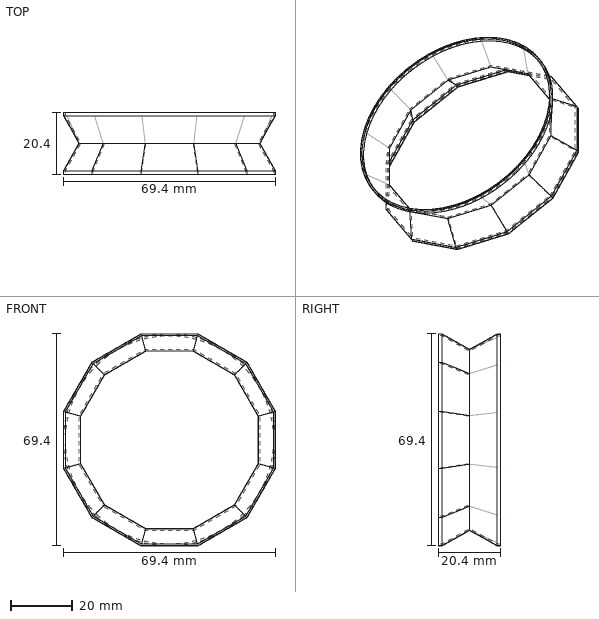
import cadquery as cq
import math

sides = 12
rim_size = 69.35
waist_size = 59.2
wall = 0.6
width = 20.4
rim_band = 1.2

waist_y = 0.0
end_y = width / 2
band_y = end_y - rim_band


def plane_at(y):
    """XZ workplane whose normal points along +Y."""
    return cq.Plane(origin=(0, y, 0), xDir=(1, 0, 0), normal=(0, 1, 0))


def polygon_wire(across_flats, y):
    """Regular polygon with flats facing +/-X and +/-Z."""
    corner_radius = across_flats / 2 / math.cos(math.pi / sides)
    points = []
    for i in range(sides):
        angle = 2 * math.pi * (i + 0.5) / sides
        points.append((corner_radius * math.cos(angle), corner_radius * math.sin(angle)))
    return cq.Workplane(plane_at(y)).polyline(points).close().val()


def circle_wire(diameter, y):
    """Circle split into one arc per polygon side, so its joints face the polygon corners."""
    radius = diameter / 2
    step = 2 * math.pi / sides

    def point(position):
        return (radius * math.cos(position * step), radius * math.sin(position * step))

    outline = cq.Workplane(plane_at(y)).moveTo(*point(0.5))
    for i in range(sides):
        outline = outline.threePointArc(point(i + 1), point(i + 1.5))
    return outline.wire().val()


def ruled_section(start, end):
    """Solid with straight rulings between two outlines."""
    return cq.Workplane(cq.Solid.makeLoft([start, end], True))


def spool(inset):
    """Solid waisted body, with every outline moved inward by inset."""
    rim = rim_size - 2 * inset
    waist = waist_size - 2 * inset
    polygon_band = ruled_section(polygon_wire(rim, -end_y), polygon_wire(rim, -band_y))
    polygon_flare = ruled_section(polygon_wire(rim, -band_y), polygon_wire(waist, waist_y))
    round_flare = ruled_section(polygon_wire(waist, waist_y), circle_wire(rim, band_y))
    round_band = ruled_section(circle_wire(rim, band_y), circle_wire(rim, end_y))
    return polygon_band.union(polygon_flare).union(round_flare).union(round_band)


result = spool(0).cut(spool(wall))